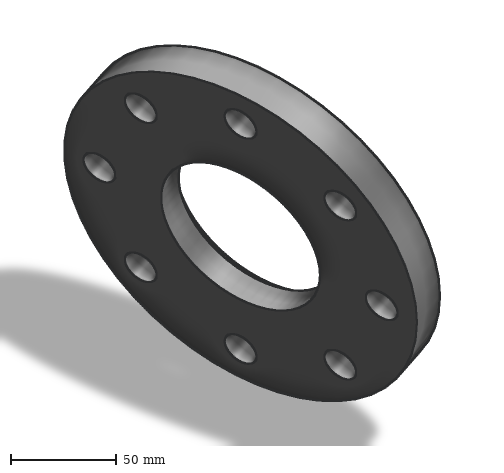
import cadquery as cq

outer_diameter = 200.0
thickness = 20.0
bore_diameter = 90.0
bore_chamfer = 4.8

bolt_circle_diameter = 160.0
bolt_hole_diameter = 18.0
bolt_hole_count = 8


def make_ring():
    """Disc with a chamfered central bore, its back face on the XZ plane."""
    ring = (
        cq.Workplane("XZ")
        .circle(outer_diameter / 2)
        .circle(bore_diameter / 2)
        .extrude(thickness)
    )
    bore_back_edge = ring.faces(">Y").edges(cq.selectors.RadiusNthSelector(0))
    return bore_back_edge.chamfer(bore_chamfer)


def make_bolt_holes():
    """Cylinders that cut the bolt holes through the full thickness."""
    return (
        cq.Workplane("XZ")
        .polarArray(bolt_circle_diameter / 2, 0, 360, bolt_hole_count)
        .circle(bolt_hole_diameter / 2)
        .extrude(thickness)
    )


result = make_ring().cut(make_bolt_holes())